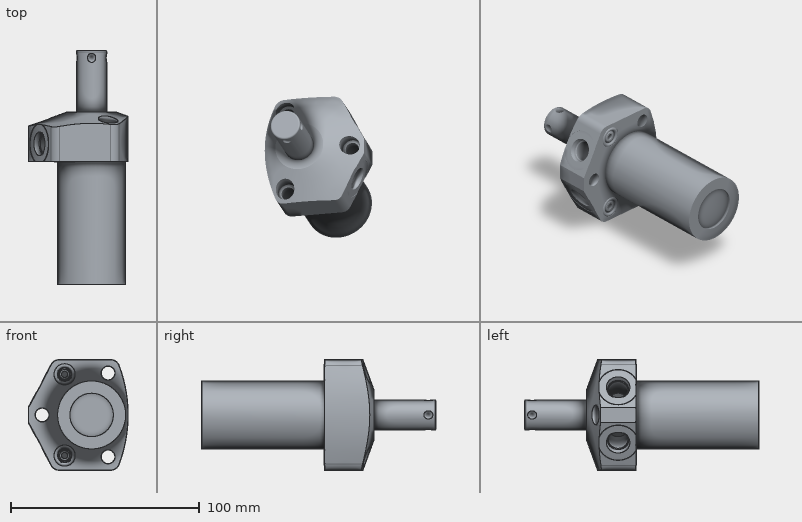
import cadquery as cq
import math

total_length = 124.0

tube_radius = 18.0
tube_length = 65.1
end_recess_radius = 11.5
end_recess_depth = 1.5
rod_radius = 8.0
rod_tip_fillet = 0.8
dimple_radius = 2.4
dimple_depth = 2.9
dimple_from_tip = 4.0
dimple_count = 4

flange_thickness = 26.2
flange_left = 33.5
flange_right = 19.33
flange_half_height = 29.3
left_edge_half_height = 4.05
slant_angle = math.radians(62)
right_arc_radius = 74.0
corner_radius = 5.0
front_flat_radius = 13.0
front_cone_angle = math.radians(20)

mount_hole_radius = 3.6
mount_counterbore_radius = 5.2
mount_counterbore_floor = 15.0
mount_holes = [(-26.2, 0.0), (8.7, 22.15), (8.7, -22.15)]

port_z = 14.75
port_from_back = 9.4
spotface_radius = 10.5
spotface_depth = 0.2
port_mouth_radius = 6.25
port_cone_depth = 3.0
port_cone_angle = math.radians(12)
port_bore_radius = 5.15
port_depth = 16.6

seal_x = -14.3
seal_z = 21.5
seal_counterbore_radius = 5.6
seal_counterbore_depth = 1.4
ring_section_radius = 0.95
ring_protrusion = 0.35
plug_radius = 3.3
plug_chamfer = 0.65
plug_top_depth = 0.4
passage_radius = 1.65
passage_depth = 5.0

rod_tip_y = total_length - tube_length
corner_x = -flange_left + (flange_half_height - left_edge_half_height) / math.tan(slant_angle)
arc_center_x = flange_right - right_arc_radius
arc_end_x = arc_center_x + math.sqrt(right_arc_radius**2 - flange_half_height**2)


def revolve_about_y(points):
    """Solid of revolution about Y from (radius, y) points."""
    return cq.Workplane("XY").polyline(points).close().revolve(360, (0, 0), (0, 1))


def cylinder_along_y(radius, start_y, end_y, x=0.0, z=0.0):
    height = end_y - start_y
    return cq.Workplane(cq.Solid.makeCylinder(radius, height, cq.Vector(x, start_y, z), cq.Vector(0, 1, 0)))


def make_flange():
    outline = (
        cq.Workplane("XZ")
        .moveTo(-flange_left, -left_edge_half_height)
        .lineTo(corner_x, -flange_half_height)
        .lineTo(arc_end_x, -flange_half_height)
        .threePointArc((flange_right, 0), (arc_end_x, flange_half_height))
        .lineTo(corner_x, flange_half_height)
        .lineTo(-flange_left, left_edge_half_height)
        .close()
    )
    plate = outline.extrude(-flange_thickness)
    plate = plate.edges("|Y").edges(">Z or <Z").fillet(corner_radius)
    envelope_radius = flange_left + corner_radius
    envelope_drop = (envelope_radius - front_flat_radius) * math.tan(front_cone_angle)
    envelope = revolve_about_y(
        [
            (0, 0),
            (envelope_radius, 0),
            (envelope_radius, flange_thickness - envelope_drop),
            (front_flat_radius, flange_thickness),
            (0, flange_thickness),
        ]
    )
    return plate.intersect(envelope)


def make_tube():
    tube = cylinder_along_y(tube_radius, -tube_length, 0)
    recess = cylinder_along_y(end_recess_radius, -tube_length, -tube_length + end_recess_depth)
    return tube.cut(recess)


def make_rod():
    rod = cylinder_along_y(rod_radius, 0, rod_tip_y).faces(">Y").edges().fillet(rod_tip_fillet)
    for index in range(dimple_count):
        angle = 2 * math.pi * index / dimple_count
        outward = cq.Vector(math.cos(angle), 0, math.sin(angle))
        mouth = outward * rod_radius + cq.Vector(0, rod_tip_y - dimple_from_tip, 0)
        rod = rod.cut(cq.Workplane(cq.Solid.makeCone(dimple_radius, 0, dimple_depth, mouth, outward * -1)))
    return rod


def make_port(side):
    """Cutter for one port; side is +1 for the upper slanted face, -1 for the lower."""
    port_x = -flange_left + (port_z - left_edge_half_height) / math.tan(slant_angle)
    mouth = cq.Vector(port_x, port_from_back, side * port_z)
    inward = cq.Vector(math.sin(slant_angle), 0, -side * math.cos(slant_angle))
    spotface = cq.Solid.makeCylinder(spotface_radius, spotface_depth, mouth, inward)
    seat_radius = port_mouth_radius - port_cone_depth * math.tan(port_cone_angle)
    seat = cq.Solid.makeCone(port_mouth_radius, seat_radius, port_cone_depth, mouth, inward)
    bore = cq.Solid.makeCylinder(port_bore_radius, port_depth, mouth, inward)
    step_depth = seat_radius - port_bore_radius
    step_mouth = mouth + inward * port_cone_depth
    step = cq.Solid.makeCone(seat_radius, port_bore_radius, step_depth, step_mouth, inward)
    cutter = cq.Workplane(spotface)
    for section in (seat, step, bore):
        cutter = cutter.union(cq.Workplane(section))
    return cutter


def add_sealed_passage(body, z):
    counterbore = cylinder_along_y(seal_counterbore_radius, 0, seal_counterbore_depth, seal_x, z)
    plug = cylinder_along_y(plug_radius, plug_top_depth, seal_counterbore_depth, seal_x, z)
    plug = plug.faces("<Y").edges().chamfer(plug_chamfer)
    passage = cylinder_along_y(passage_radius, 0, passage_depth, seal_x, z)
    ring_center = cq.Vector(seal_x, ring_section_radius - ring_protrusion, z)
    ring_radius = seal_counterbore_radius - ring_section_radius
    ring = cq.Solid.makeTorus(ring_radius, ring_section_radius, ring_center, cq.Vector(0, 1, 0))
    return body.cut(counterbore).union(plug).cut(passage).union(cq.Workplane(ring))


result = make_flange()
for hole_x, hole_z in mount_holes:
    result = result.cut(cylinder_along_y(mount_hole_radius, 0, flange_thickness, hole_x, hole_z))
    head_space = cylinder_along_y(
        mount_counterbore_radius, mount_counterbore_floor, flange_thickness, hole_x, hole_z
    )
    result = result.cut(head_space)
result = result.union(make_tube()).union(make_rod())
for side in (1, -1):
    result = result.cut(make_port(side))
    result = add_sealed_passage(result, side * seal_z)